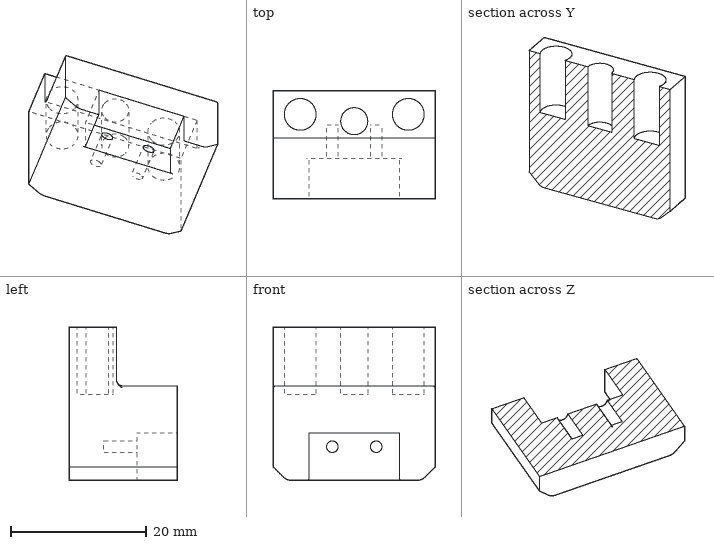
import cadquery as cq

width = 24.0
depth = 16.0
height = 22.7

wall_thickness = 7.0
step_height = 14.0
step_depth = depth - wall_thickness
step_side_radius = 0.35
step_root_radius = 0.98

chamfer = 2.0
blend_radius = 1.5

slot_width = 13.35
slot_height = 7.0
slot_depth = 5.95
slot_mouth_radius = 0.35

pin_diameter = 1.7
pin_spacing = 6.5
pin_height = 5.0
pin_depth = 5.0

outer_hole_diameter = 4.7
outer_hole_spacing = 16.0
outer_hole_setback = 3.5
middle_hole_diameter = 4.0
middle_hole_setback = 4.5
top_hole_depth = 10.0

side_allowance = 2.4

select_margin = 0.02


def stepped_block():
    """Step with rounded side edges, blended into the wall behind it and cut flush at both sides."""
    step = (
        cq.Workplane("XY")
        .box(width, step_depth, step_height, centered=(True, False, False))
        .edges("|Y and >Z")
        .fillet(step_side_radius)
    )
    wall = (
        cq.Workplane("XY", origin=(0, step_depth, 0))
        .box(width + 2 * side_allowance, wall_thickness, height, centered=(True, False, False))
    )
    root = cq.selectors.BoxSelector(
        (-width / 2 - select_margin, step_depth - select_margin, 0),
        (width / 2 + select_margin, step_depth + select_margin, step_height + select_margin),
    )
    envelope = cq.Workplane("XY").box(width, depth, height, centered=(True, False, False))
    return wall.union(step).edges(root).fillet(step_root_radius).intersect(envelope)


def trim_lower_corners(body):
    """Chamfer the lower side edges and blend the chamfers into the underside."""
    body = body.faces("<Z").edges("|Y").chamfer(chamfer)
    return body.faces("<Z").edges("|Y").fillet(blend_radius)


def cut_slot(body):
    """Cut the front slot and round the lower edges of its side walls."""
    slot = cq.Workplane("XY").box(slot_width, slot_depth, slot_height, centered=(True, False, False))
    mouth = cq.selectors.BoxSelector(
        (-slot_width / 2 - select_margin, 0, -select_margin),
        (slot_width / 2 + select_margin, slot_depth, select_margin),
    )
    return body.cut(slot).edges("|Y").edges(mouth).fillet(slot_mouth_radius)


def top_hole(x, setback, diameter):
    """Blind hole cutter measured from the back face."""
    return (
        cq.Workplane("XY", origin=(x, depth - setback, height))
        .circle(diameter / 2)
        .extrude(-top_hole_depth)
    )


def pin_hole(x):
    """Blind hole cutter running back from the end wall of the slot."""
    return (
        cq.Workplane("XZ", origin=(x, slot_depth, pin_height))
        .circle(pin_diameter / 2)
        .extrude(-pin_depth)
    )


result = cut_slot(trim_lower_corners(stepped_block()))
result = result.cut(top_hole(0, middle_hole_setback, middle_hole_diameter))
for side in (-1, 1):
    result = result.cut(top_hole(side * outer_hole_spacing / 2, outer_hole_setback, outer_hole_diameter))
    result = result.cut(pin_hole(side * pin_spacing / 2))